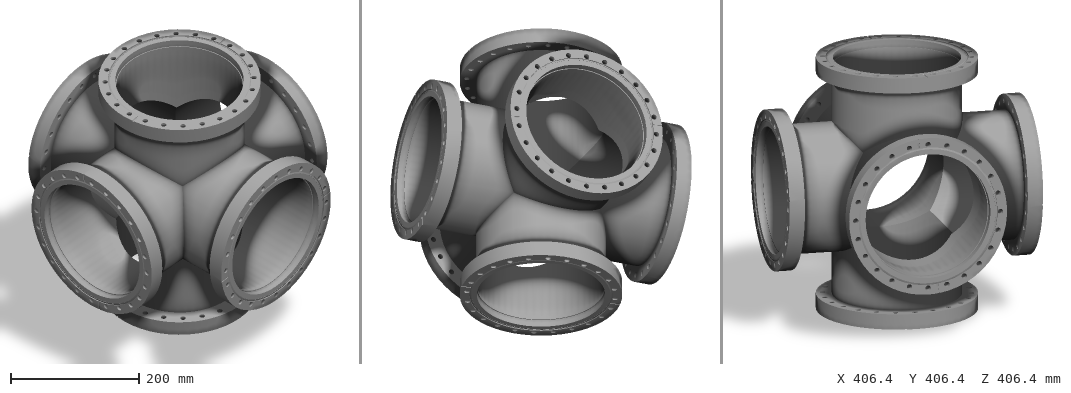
import cadquery as cq

face_to_face = 406.4
half_span = face_to_face / 2

tube_outer_diameter = 203.2
tube_bore_diameter = 197.4
tube_end_setback = 12.7

flange_diameter = 253.0
flange_thickness = 24.6
flange_bore_diameter = 200.0

bolt_count = 24
bolt_pitch = 360 / bolt_count
bolt_circle_diameter = 231.9
bolt_hole_diameter = 8.5

recess_diameter = 222.6
recess_depth = 1.6
knife_diameter = 216.7
knife_tip_depth = 0.6
seat_depth = 1.0

groove_width = 3.0
groove_depth = 1.0
groove_angle = 90 + bolt_pitch / 2

port_turns = [((1, 0, 0), angle) for angle in (0, 90, 180, 270)]
port_turns += [((0, 1, 0), angle) for angle in (-90, 90)]


def turn_to_port(shape, axis, angle):
    return shape.rotate((0, 0, 0), axis, angle)


def six_way_cross(diameter, half_length):
    """Three equal cylinders crossing at the origin along X, Y and Z."""
    cross = cq.Workplane("XY")
    for plane in ("XY", "YZ", "XZ"):
        arm = cq.Workplane(plane).circle(diameter / 2).extrude(half_length, both=True)
        cross = cross.union(arm)
    return cross


def make_tube_cross():
    outer = six_way_cross(tube_outer_diameter, half_span - tube_end_setback)
    return outer.cut(six_way_cross(tube_bore_diameter, half_span))


def make_flange():
    """Flange on the +Z port: a revolved ring with bolt holes and two leak-check grooves."""
    face = half_span
    back = face - flange_thickness
    tube_end = face - tube_end_setback
    bore_radius = flange_bore_diameter / 2
    socket_radius = tube_outer_diameter / 2
    outer_radius = flange_diameter / 2
    recess_radius = recess_diameter / 2
    knife_radius = knife_diameter / 2

    flange = (
        cq.Workplane("XZ")
        .moveTo(socket_radius, back)
        .lineTo(outer_radius, back)
        .lineTo(outer_radius, face)
        .lineTo(recess_radius, face)
        .lineTo(recess_radius, face - recess_depth)
        .lineTo(knife_radius, face - knife_tip_depth)
        .lineTo(knife_radius, face - seat_depth)
        .lineTo(bore_radius, face - seat_depth)
        .lineTo(bore_radius, tube_end)
        .lineTo(socket_radius, tube_end)
        .close()
        .revolve(360, (0, 0, 0), (0, 1, 0))
    )

    bolt_holes = (
        cq.Workplane("XY", origin=(0, 0, back))
        .polarArray(bolt_circle_diameter / 2, 0, 360, bolt_count)
        .circle(bolt_hole_diameter / 2)
        .extrude(flange_thickness)
    )

    grooves = (
        cq.Workplane("XY", origin=(0, 0, face - groove_depth))
        .rect(flange_diameter + groove_width, groove_width)
        .extrude(groove_depth)
        .rotate((0, 0, 0), (0, 0, 1), groove_angle)
    )
    recess_zone = (
        cq.Workplane("XY", origin=(0, 0, face - groove_depth))
        .circle(recess_radius)
        .extrude(groove_depth)
    )
    return flange.cut(bolt_holes).cut(grooves.cut(recess_zone))


tube_cross = make_tube_cross()
flange = make_flange()
flanges = [turn_to_port(flange, axis, angle) for axis, angle in port_turns]

result = cq.Compound.makeCompound([tube_cross.val(), *[port_flange.val() for port_flange in flanges]])